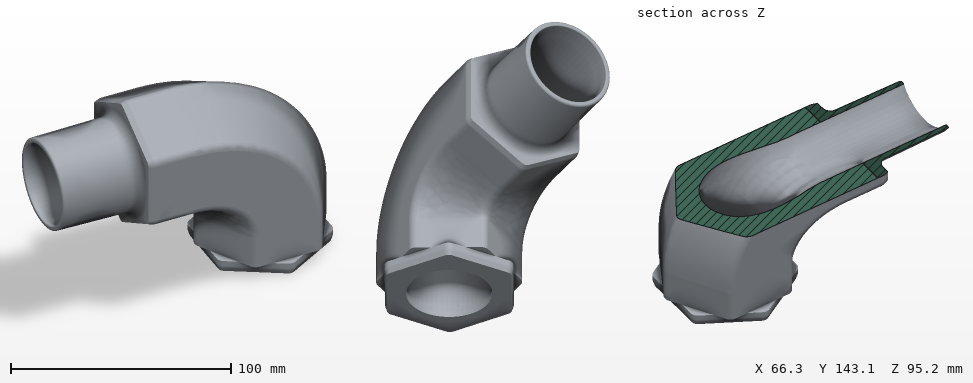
import cadquery as cq
import math

total_length = 143.1
hexagon_sides = 6
corner_span = 66.3
corner_radius = 4.0
bend_height = 40.0
bend_reach = 48.1
lower_pull = 20.3
front_pull = 30.8
straight_leg = 16.0
collar_thickness = 6.0
collar_straight = 3.1
collar_draft = 18.0
nut_turn = 30.0
collar_blend = 2.9
bore_diameter = 39.2
spigot_root_diameter = 45.1
spigot_tip_diameter = 44.0
spigot_root_fillet = 4.0
spigot_tip_round = 1.0
spigot_bore_round = 0.5

corner_loss = corner_radius * (1 / math.cos(math.pi / hexagon_sides) - 1)
sharp_span = corner_span + 2 * corner_loss
lower_end_z = -(bend_height + straight_leg)
front_end_y = -(bend_reach + straight_leg)
flange_face_y = front_end_y - collar_thickness
spigot_tip_y = corner_span / 2 - total_length


def hexagon(turn=0.0):
    """Rounded hexagon outline with corners on the local y axis, then turned in degrees."""
    return cq.Sketch().regularPolygon(sharp_span / 2, hexagon_sides, angle=turn).vertices().fillet(corner_radius)


def bend_path():
    """Centreline from the lower mouth, up through the bend and out to the front mouth."""
    bend_points = [
        (0, -bend_height),
        (0, -bend_height + lower_pull),
        (-bend_reach + front_pull, 0),
        (-bend_reach, 0),
    ]
    return (
        cq.Workplane("YZ")
        .moveTo(0, lower_end_z)
        .lineTo(*bend_points[0])
        .bezier(bend_points)
        .lineTo(front_end_y, 0)
    )


def make_elbow():
    """Hexagonal tube swept along the bend, with a round bore."""
    mouth = cq.Workplane("XY", origin=(0, 0, lower_end_z))
    shell = mouth.placeSketch(hexagon()).sweep(bend_path())
    bore = mouth.circle(bore_diameter / 2).sweep(bend_path())
    return shell.cut(bore)


def make_collar(plane, turn=0.0):
    """Hexagonal plate grown from the given plane, its sides sloping in towards the outer face."""
    outer_height = collar_thickness - collar_straight
    upright = plane.placeSketch(hexagon(turn)).extrude(collar_straight)
    sloping = (
        plane.workplane(offset=collar_straight)
        .placeSketch(hexagon(turn))
        .extrude(outer_height, taper=collar_draft)
    )
    body = upright.union(sloping)
    side_faces_meet = [
        edge
        for edge in body.edges().vals()
        if math.isclose(plane.plane.toLocalCoords(edge.Center()).z, collar_straight, abs_tol=0.0001)
    ]
    return body.newObject(side_faces_meet).fillet(collar_blend)


def make_lower_nut():
    """Nut under the elbow, turned so that its corners lie over the elbow's flats."""
    plane = cq.Workplane("XY", origin=(0, 0, lower_end_z)).transformed(rotate=(180, 0, 0))
    bore = plane.circle(bore_diameter / 2).extrude(collar_thickness)
    return make_collar(plane, nut_turn).cut(bore)


def make_spigot():
    """Hexagonal flange with a slightly tapering round tube in front of it."""
    plane = cq.Workplane("XZ", origin=(0, front_end_y, 0))
    flange = make_collar(plane)
    tube = (
        cq.Workplane("XY")
        .moveTo(0, front_end_y)
        .lineTo(spigot_root_diameter / 2, front_end_y)
        .lineTo(spigot_root_diameter / 2, flange_face_y)
        .lineTo(spigot_tip_diameter / 2, spigot_tip_y)
        .lineTo(0, spigot_tip_y)
        .close()
        .revolve(360, (0, 0, 0), (0, 1, 0))
        .faces("<Y")
        .edges()
        .fillet(spigot_tip_round)
    )
    root_edge = cq.selectors.NearestToPointSelector((0, flange_face_y, 0))
    body = flange.union(tube).edges("%CIRCLE").edges(root_edge).fillet(spigot_root_fillet)
    bore = plane.circle(bore_diameter / 2).extrude(front_end_y - spigot_tip_y)
    rim = cq.selectors.NearestToPointSelector((0, spigot_tip_y, 0))
    return body.cut(bore).edges("%CIRCLE").edges(rim).fillet(spigot_bore_round)


elbow = make_elbow()
lower_nut = make_lower_nut()
spigot = make_spigot()
result = cq.Compound.makeCompound([elbow.val(), lower_nut.val(), spigot.val()])